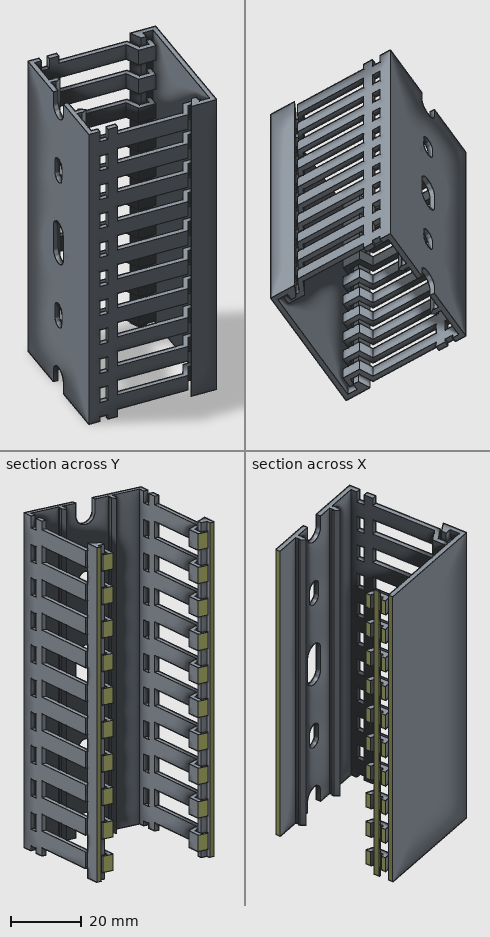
import cadquery as cq
import math

LENGTH = 100.0
WIDTH = 40.0
DEPTH = 40.0
HALF_WIDTH = WIDTH / 2
FLOOR_Y = -DEPTH / 2
COVER_Y = DEPTH / 2

WALL = 1.5
FLOOR = 1.5
SHOULDER_DROP = 9.0
SHOULDER_RISE = 2.0
CLIP_OUTER_INSET = 4.0
CLIP_TOP_DROP = 2.5
HOOK_INSET = 2.0
CLIP_INNER_INSET = CLIP_OUTER_INSET + WALL
SHOULDER_SLOPE = SHOULDER_RISE / CLIP_OUTER_INSET

COVER_WALL = WALL
LIP_TOP_DROP = 4.6
LIP_TIP_INSET = 3.5
COVER_SKIRT = 8.0
LIP_TIP_DROP = COVER_SKIRT - SHOULDER_SLOPE * LIP_TIP_INSET

RIB_X = 8.5
RIB_HEIGHT = 4.6
BARB_HEIGHT = 2.7
BARB_ROOT_HEIGHT = 3.0
BARB_HALF_WIDTH = 1.2
RIB_STEM_HALF_WIDTH = 0.7

PITCH = 10.0
FINGER_GAP = 5.0
FINGER_ROOT_HEIGHT = 9.0
WINDOW_LENGTH = 5.0
WINDOW_BOTTOM_HEIGHT = 3.5
WINDOW_TOP_HEIGHT = 6.0
WINDOW_SHIFT = -1.0

LARGE_SLOT_LENGTH = 14.0
LARGE_SLOT_WIDTH = 6.5
SMALL_SLOT_LENGTH = 8.0
SMALL_SLOT_WIDTH = 4.5
SMALL_SLOT_OFFSET = LENGTH / 4


def extrude_symmetric(half_outline):
    """Extrude the section made of a +X half outline, running from X = 0 to X = 0, and its mirror image."""
    mirrored = [(-x, y) for x, y in reversed(half_outline[1:-1])]
    return cq.Workplane("XY").polyline(half_outline + mirrored).close().extrude(LENGTH)


def duct_profile():
    outer_bend_y = COVER_Y - SHOULDER_DROP
    shoulder_thickness_y = WALL * math.hypot(1, SHOULDER_SLOPE)
    inner_bend_y = outer_bend_y + SHOULDER_SLOPE * WALL - shoulder_thickness_y
    inner_clip_y = outer_bend_y + SHOULDER_SLOPE * CLIP_INNER_INSET - shoulder_thickness_y
    clip_top_y = COVER_Y - CLIP_TOP_DROP
    hook_bottom_y = clip_top_y - WALL
    clip_outer_x = HALF_WIDTH - CLIP_OUTER_INSET
    clip_inner_x = HALF_WIDTH - CLIP_INNER_INSET
    hook_x = HALF_WIDTH - HOOK_INSET
    inner_wall_x = HALF_WIDTH - WALL
    return extrude_symmetric([
        (0, FLOOR_Y),
        (HALF_WIDTH, FLOOR_Y),
        (HALF_WIDTH, outer_bend_y),
        (clip_outer_x, outer_bend_y + SHOULDER_RISE),
        (clip_outer_x, hook_bottom_y),
        (hook_x, hook_bottom_y),
        (hook_x, clip_top_y),
        (clip_inner_x, clip_top_y),
        (clip_inner_x, inner_clip_y),
        (inner_wall_x, inner_bend_y),
        (inner_wall_x, FLOOR_Y + FLOOR),
        (0, FLOOR_Y + FLOOR),
    ])


def snap_rib(center_x):
    """Full-length rib with a barbed arrow head, rooted in the floor."""
    half_rib = [
        (RIB_STEM_HALF_WIDTH, FLOOR / 2),
        (RIB_STEM_HALF_WIDTH, BARB_ROOT_HEIGHT),
        (BARB_HALF_WIDTH, BARB_HEIGHT),
    ]
    mirrored = [(-x, height) for x, height in reversed(half_rib)]
    outline = half_rib + [(0, RIB_HEIGHT)] + mirrored
    points = [(center_x + x, FLOOR_Y + height) for x, height in outline]
    return cq.Workplane("XY").polyline(points).close().extrude(LENGTH)


def cross_box(bottom_y, top_y, center_z, length_z):
    """Cutter running through both side walls along X."""
    return cq.Workplane("XY").box(2 * WIDTH, top_y - bottom_y, length_z).translate(
        (0, (bottom_y + top_y) / 2, center_z)
    )


def floor_slot(length, width, center_z):
    """Round-ended cutter through the floor, long side along Z."""
    return (
        cq.Workplane("XZ", origin=(0, FLOOR_Y, center_z))
        .slot2D(length, width, angle=90)
        .extrude(FLOOR, both=True)
    )


def make_duct():
    duct = duct_profile()

    finger_root_y = FLOOR_Y + FINGER_ROOT_HEIGHT
    window_bottom_y = FLOOR_Y + WINDOW_BOTTOM_HEIGHT
    window_top_y = FLOOR_Y + WINDOW_TOP_HEIGHT
    for index in range(int(LENGTH / PITCH) + 1):
        gap_z = index * PITCH
        duct = duct.cut(cross_box(finger_root_y, COVER_Y, gap_z, FINGER_GAP))
        duct = duct.cut(cross_box(window_bottom_y, window_top_y, gap_z + WINDOW_SHIFT, WINDOW_LENGTH))

    for side in (-1, 1):
        duct = duct.union(snap_rib(side * RIB_X))

    for slot_z in (0, LENGTH / 2, LENGTH):
        duct = duct.cut(floor_slot(LARGE_SLOT_LENGTH, LARGE_SLOT_WIDTH, slot_z))
    for side in (-1, 1):
        slot_z = LENGTH / 2 + side * SMALL_SLOT_OFFSET
        duct = duct.cut(floor_slot(SMALL_SLOT_LENGTH, SMALL_SLOT_WIDTH, slot_z))
    return duct


def make_cover():
    """Flat lid whose skirts end in inward lips that catch under the clip hooks."""
    inner_x = HALF_WIDTH - COVER_WALL
    lip_x = HALF_WIDTH - LIP_TIP_INSET
    return extrude_symmetric([
        (0, COVER_Y),
        (HALF_WIDTH, COVER_Y),
        (HALF_WIDTH, COVER_Y - COVER_SKIRT),
        (lip_x, COVER_Y - LIP_TIP_DROP),
        (lip_x, COVER_Y - LIP_TOP_DROP),
        (inner_x, COVER_Y - LIP_TOP_DROP),
        (inner_x, COVER_Y - COVER_WALL),
        (0, COVER_Y - COVER_WALL),
    ])


duct = make_duct()
cover = make_cover()
result = cq.Compound.makeCompound([duct.val(), cover.val()])